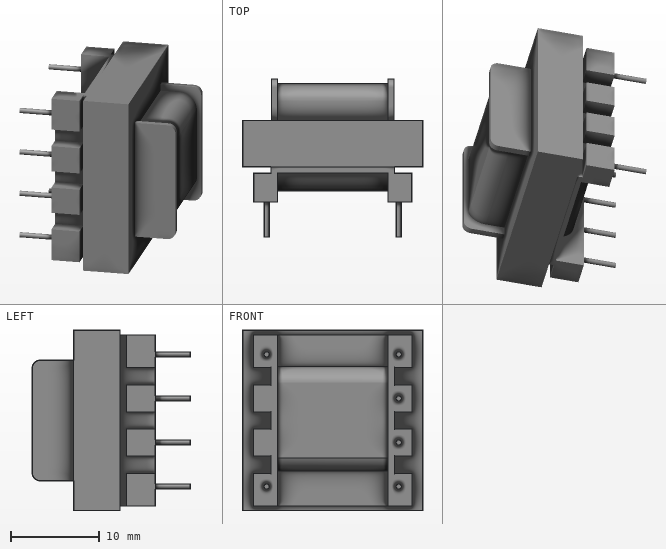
import cadquery as cq
import math

core_side = 20.5
core_depth = 5.27
core_front = -core_depth / 2
core_back = core_depth / 2

winding_width = 12.55
plate_width = 14.06
plate_height = 19.48
plate_depth = 0.72
plate_front = core_front - plate_depth
rail_depth = 3.28
rail_front = plate_front - rail_depth
cheek_outer_width = 13.95
cheek_height = 13.74
cheek_length = 4.74
cheek_radius = 0.96
cheek_back = core_back + cheek_length

block_span = 17.98
end_block_height = 3.71
middle_block_height = 3.03

coil_top = 6.1
coil_bottom = -5.75
coil_flat_top = 4.26
coil_flat_bottom = -4.25
corner_depth = 2.0
coil_back = cheek_back - 0.51
coil_front = plate_front - corner_depth

pin_diameter = 0.6
pin_length = 4.0
pin_pitch = 5.0
pin_span = 3 * pin_pitch


def box(x_min, x_max, y_min, y_max, height, z_center=0):
    """Block between X and Y limits, centred in Z on z_center."""
    return cq.Workplane("XY").box(x_max - x_min, y_max - y_min, height).translate(
        ((x_min + x_max) / 2, (y_min + y_max) / 2, z_center)
    )


def make_core():
    return box(-core_side / 2, core_side / 2, core_front, core_back, core_side)


def corner_middle(start, end):
    """Middle of the arc that leaves start parallel to Y and reaches end (points are Y, Z)."""
    depth = abs(end[0] - start[0])
    drop = abs(end[1] - start[1])
    radius = (depth**2 + drop**2) / (2 * drop)
    half_angle = math.atan2(drop, depth)
    outward = math.copysign(1, end[0] - start[0])
    inward = math.copysign(1, end[1] - start[1])
    return (
        start[0] + outward * radius * math.sin(half_angle),
        start[1] + inward * radius * (1 - math.cos(half_angle)),
    )


def make_coil():
    """Coil section in the YZ plane: each corner arc is tangent to the top or bottom face."""
    rear_start = coil_back - corner_depth
    top_front = (plate_front, coil_top)
    top_rear = (rear_start, coil_top)
    rear_top = (coil_back, coil_flat_top)
    rear_bottom = (coil_back, coil_flat_bottom)
    bottom_rear = (rear_start, coil_bottom)
    bottom_front = (plate_front, coil_bottom)
    front_bottom = (coil_front, coil_flat_bottom)
    front_top = (coil_front, coil_flat_top)
    profile = (
        cq.Workplane("YZ")
        .moveTo(*top_front)
        .lineTo(*top_rear)
        .threePointArc(corner_middle(top_rear, rear_top), rear_top)
        .lineTo(*rear_bottom)
        .threePointArc(corner_middle(bottom_rear, rear_bottom), bottom_rear)
        .lineTo(*bottom_front)
        .threePointArc(corner_middle(bottom_front, front_bottom), front_bottom)
        .lineTo(*front_top)
        .threePointArc(corner_middle(top_front, front_top), top_front)
        .close()
    )
    return profile.extrude(winding_width / 2, both=True)


def make_plate():
    return box(-plate_width / 2, plate_width / 2, plate_front, core_front, plate_height)


def make_cheek():
    """Rear cheek on the +X side, with its two back corners rounded."""
    cheek = box(winding_width / 2, cheek_outer_width / 2, core_back, cheek_back, cheek_height)
    return cheek.edges("|X and >Y").fillet(cheek_radius)


def make_rail():
    """Terminal rail on the +X side, with four blocks separated by notches."""
    rail = box(winding_width / 2, plate_width / 2, rail_front, plate_front, plate_height)
    end_z = (plate_height - end_block_height) / 2
    middle_z = pin_pitch / 2
    for z, height in ((end_z, end_block_height), (middle_z, middle_block_height)):
        for side in (-1, 1):
            rail = rail.union(
                box(winding_width / 2, block_span / 2, rail_front, plate_front, height, side * z)
            )
    return rail


def make_pins(x, heights):
    """Pins pointing to -Y from the rail front, one at each Z in heights."""
    return (
        cq.Workplane("XZ", origin=(0, rail_front, 0))
        .pushPoints([(x, z) for z in heights])
        .circle(pin_diameter / 2)
        .extrude(pin_length)
    )


outer_pin_heights = [-1.5 * pin_pitch, 1.5 * pin_pitch]
inner_pin_heights = [-0.5 * pin_pitch, 0.5 * pin_pitch]

result = make_core().union(make_plate()).union(make_coil())
for half in (make_cheek(), make_rail()):
    result = result.union(half).union(half.mirror("YZ"))

result = result.union(make_pins(-pin_span / 2, outer_pin_heights))
result = result.union(make_pins(pin_span / 2, outer_pin_heights + inner_pin_heights))